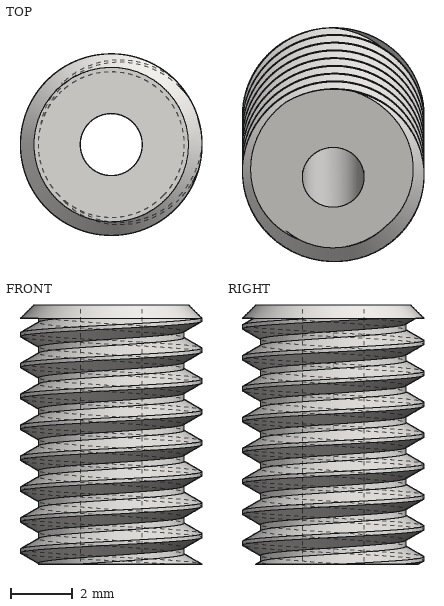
import cadquery as cq
import math

length = 8.4
major_diameter = 5.884
minor_diameter = 4.72
bore_diameter = 2.0
end_face_diameter = 5.0

pitch = 1.0
crest_width = pitch / 8
flank_slope = math.tan(math.radians(30))
crest_height_at_plus_x = -0.065

major_radius = major_diameter / 2
minor_radius = minor_diameter / 2
chamfer = (major_diameter - end_face_diameter) / 2
threaded_length = length - chamfer

root_overlap = 0.05
overrun_turns = 1


def ridge_half_width(radius):
    """Half the axial width of the thread ridge at a given radius."""
    return crest_width / 2 + (major_radius - radius) * flank_slope


def make_ridge():
    """Helical ridge with a trapezoidal section, trimmed flat at both ends."""
    inner_radius = minor_radius - root_overlap
    inner_half = ridge_half_width(inner_radius)
    crest_half = ridge_half_width(major_radius)
    turns = math.ceil(threaded_length / pitch) + 2 * overrun_turns
    start_height = crest_height_at_plus_x - overrun_turns * pitch

    helix = cq.Wire.makeHelix(pitch, turns * pitch, inner_radius)
    ridge = (
        cq.Workplane("XZ")
        .moveTo(inner_radius, -inner_half)
        .lineTo(major_radius, -crest_half)
        .lineTo(major_radius, crest_half)
        .lineTo(inner_radius, inner_half)
        .close()
        .sweep(cq.Workplane(obj=helix), isFrenet=True)
        .translate((0, 0, start_height))
    )
    trim_width = 2 * major_diameter
    trim_block = cq.Workplane("XY").rect(trim_width, trim_width).extrude(threaded_length)
    return ridge.intersect(trim_block)


def make_threaded_shank():
    """Core cylinder carrying the full-length external thread."""
    core = cq.Workplane("XY").circle(minor_radius).extrude(threaded_length)
    return core.union(make_ridge())


def make_chamfered_end():
    """Solid disc at the top whose whole rim is the 45 degree chamfer."""
    return (
        cq.Workplane("XY", origin=(0, 0, threaded_length))
        .circle(major_radius)
        .extrude(chamfer, taper=45)
    )


def make_bore():
    """Plain hole along the whole axis."""
    return cq.Workplane("XY").circle(bore_diameter / 2).extrude(length)


result = make_threaded_shank().union(make_chamfered_end()).cut(make_bore())